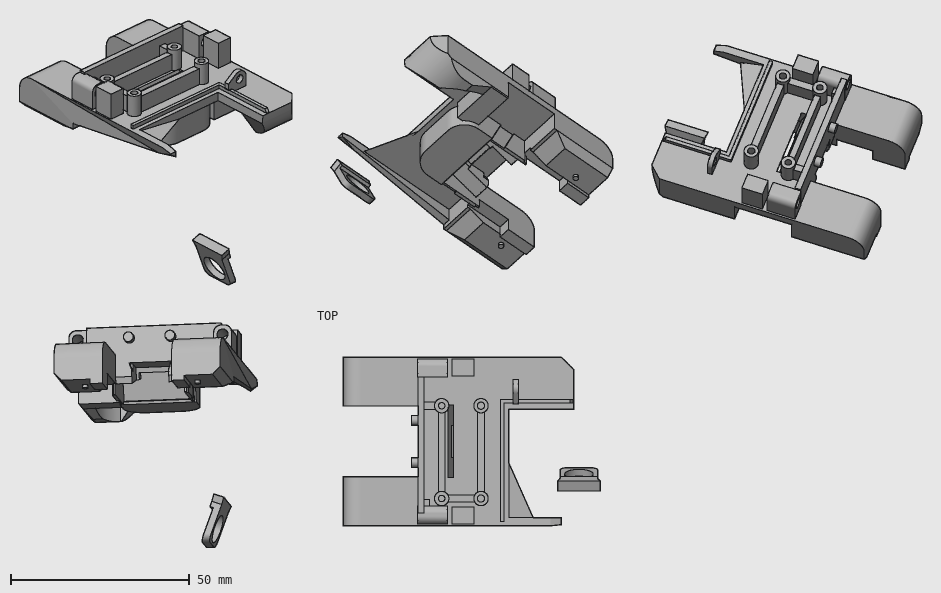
import cadquery as cq
import math

WIDTH = 47.3
HALF_WIDTH = WIDTH / 2
DECK_END = 64.55
DECK_THICKNESS = 2.65
TILT = 20.0
TILT_SLOPE = math.tan(math.radians(TILT))

GAP_HALF = 9.85
WALL_BACK = 20.95
NOTCH_X = 46.35
NOTCH_FAR_Y = 9.0
NOTCH_NEAR_Y = -21.3
NEAR_ARM_END = 61.1
FAR_CORNER_CUT = 3.5

LEG_ROUND = 5.0
LEG_BOTTOM = -11.45
LEG_CHAMFER = 2.15
LEG_FLAT_END = 15.8
LEG_SLOPE_END = 20.65
LEG_END = 21.65
NEAR_FOOT_LENGTH = 9.65
FAR_FOOT_LENGTH = 7.85
FOOT_WIDTH = 3.5
FOOT_BOTTOM = -12.75
LEG_INNER_BOTTOM = -8.2
LEG_PEG_DIAMETER = 1.5
LEG_PEG_X = 7.05
LEG_PEG_Y = 16.0
LEG_PEG_TIP = -12.4

SKIRT_START_DEPTH = 7.4
SKIRT_KNEE = (55.6, -3.25)
SKIRT_KNEE_INSET = 1.1
SKIRT_TOP_END = 58.65
SKIRT_RELIEF_REACH = 1.5
TIP_CHAMFER_LENGTH = 3.0
TIP_CHAMFER_DROP = 0.9

BULGE_RADIUS = 11.45
BULGE_CENTRE_X = DECK_END - BULGE_RADIUS
BULGE_LOW_X = 50.15
BULGE_RISE_X = 44.75
BULGE_RISE_Z = -9.6
BULGE_CORNER_X = 55.9
BULGE_CORNER_INSET = 5.05
BULGE_SLOPE_RUN = 5.75

WALL_THICKNESS = 1.7
WALL_TOP = 8.05
WALL_BOTTOM = -6.3
WALL_FAR_Y = 18.05
WALL_NEAR_Y = -20.1
WALL_PEG_DIAMETER = 2.8
WALL_PEG_LENGTH = 1.9
WALL_PEG_Y = 5.9
BORE_Z = 4.7
BOSS_START = 20.8
BOSS_END = 29.15
BOSS_TOP = 7.4
BOSS_ROUND = 2.0
BOSS_INNER_Y = 18.05
BOSS_OUTER_Y = 23.1
BORE_DIAMETER = 3.1
BORE_Y = 20.6
BLOCK_START = 30.5
BLOCK_END = 36.6
BLOCK_INNER_Y = 18.35
STOP_LENGTH = 1.45
STOP_NEAR_Y = -18.1
STOP_WIDTH = 1.95

POST_DIAMETER = 4.0
POST_HOLE_DIAMETERS = (1.8, 2.0)
POST_TOP = 6.55
POST_XS = (27.55, 38.6)
POST_YS = (-16.0, 10.0)
RIB_TOP = 5.1
RIB_WIDTH = 2.0
LEFT_RIB_WIDTH = 1.8

LIP_WIDTH = 1.0
LIP_HEIGHT = 1.15
LIP_X = 44.0
LIP_FAR_Y = 11.7
LIP_NEAR_Y = -22.45
LIP_END = 64.25
LIP_END_SLOPE = 0.7
EYE_START = 47.6
EYE_THICKNESS = 1.45
EYE_RADIUS = 2.5
EYE_CENTRE = (14.8, 3.1)
EYE_NEAR_Y = 10.5
EYE_HOLE_DIAMETER = 2.5

SEAT_HALF = 10.15
SEAT_CORNER = (21.6, -8.1)
SLIT_START = 29.35
SLIT_END = 30.9
SEAT_OPENING_HALF = 5.25
OPENING_TOP = -2.4
OPENING_TOP_HALF = 6.05
OPENING_TAPER_Z = -4.45
WINDOW_HALF = 4.45
WINDOW_CORNER = (27.9, -3.75)
LEDGE_Z = -10.2
CORE_END = 44.75
CORE_ROUND = 6.1
CHEEK_START = 20.4
CHEEK_STEP_END = 21.4
CHEEK_THICKNESS = 1.0
CORE_HALF = GAP_HALF + CHEEK_THICKNESS
GROOVE_START = 24.6
GROOVE_DEPTH = 0.5

GUSSET_LENGTH = 6.85
GUSSET_WIDTH = 15.4
GUSSET_RISE = 2.15

CLIP_HEAD_WIDTH = 11.95
CLIP_END = 71.95
CLIP_CENTRE_X = CLIP_END - CLIP_HEAD_WIDTH / 2
CLIP_WIDTH = 10.6
CLIP_HEAD_HEIGHT = 2.1
CLIP_HEAD_THICKNESS = 3.0
CLIP_THICKNESS = 2.0
CLIP_STEP_DEPTH = 3.7
CLIP_TOP_FRONT = (-13.9, -32.95)
CLIP_BOTTOM = -45.1
CLIP_BLANK_LENGTH = 15.8
CLIP_CORNER_RADIUS = 2.0
CLIP_HOLE_DIAMETER = 8.0
CLIP_HOLE_DEPTH = 8.3


def block(x0, x1, y0, y1, z0, z1):
    """Axis-aligned box between the given limits."""
    return cq.Workplane("XY").box(x1 - x0, y1 - y0, z1 - z0, centered=False).translate((x0, y0, z0))


def side_profile(points, y0, y1):
    """Prism of an X-Z polygon between two Y positions."""
    return cq.Workplane("XZ", origin=(0, y1, 0)).polyline(points).close().extrude(y1 - y0)


def rod(diameter, x0, x1, y, z):
    """Round bar along X."""
    return cq.Workplane("YZ", origin=(x0, y, z)).circle(diameter / 2).extrude(x1 - x0)


def tetrahedron(a, b, c, d):
    """Solid with four triangular faces."""
    triangles = ((a, b, c), (a, b, d), (b, c, d), (a, c, d))
    wires = [cq.Wire.makePolygon([cq.Vector(*corner) for corner in t], close=True) for t in triangles]
    faces = [cq.Face.makeFromWires(wire) for wire in wires]
    return cq.Workplane(cq.Solid.makeSolid(cq.Shell.makeShell(faces)))


def slanted_x(x_at_top, z):
    """X at height z of a plane tilted like the camera seat."""
    return x_at_top - z * TILT_SLOPE


def square_foot(x, z, x_at_top):
    """X and Z where a line through (x, z), square to the tilted planes, meets the given plane."""
    foot_z = (z + (x_at_top - x) * TILT_SLOPE) / (1 + TILT_SLOPE**2)
    return slanted_x(x_at_top, foot_z), foot_z


def make_deck():
    outline = [
        (LEG_ROUND, -HALF_WIDTH), (NEAR_ARM_END, -HALF_WIDTH), (NEAR_ARM_END, NOTCH_NEAR_Y),
        (NOTCH_X, NOTCH_NEAR_Y), (NOTCH_X, NOTCH_FAR_Y), (DECK_END, NOTCH_FAR_Y),
        (DECK_END, HALF_WIDTH - FAR_CORNER_CUT), (DECK_END - FAR_CORNER_CUT, HALF_WIDTH),
        (LEG_ROUND, HALF_WIDTH), (LEG_ROUND, GAP_HALF), (WALL_BACK, GAP_HALF),
        (WALL_BACK, -GAP_HALF), (LEG_ROUND, -GAP_HALF),
    ]
    deck = cq.Workplane("XY").polyline(outline).close().extrude(-DECK_THICKNESS)
    end_space = block(BULGE_CENTRE_X, DECK_END, NOTCH_FAR_Y, HALF_WIDTH, -DECK_THICKNESS, 0)
    round_end = cq.Workplane("XZ", origin=(BULGE_CENTRE_X, HALF_WIDTH, 0)).circle(BULGE_RADIUS)
    round_end = round_end.extrude(HALF_WIDTH)
    return deck.cut(end_space.cut(round_end))


def make_outer_chamfer(length):
    """Corner strip removed along a lower outer edge on the near side."""
    shoulder = LEG_BOTTOM + LEG_CHAMFER
    corner = [(-HALF_WIDTH, shoulder), (-HALF_WIDTH + LEG_CHAMFER, LEG_BOTTOM), (-HALF_WIDTH, LEG_BOTTOM)]
    return cq.Workplane("YZ").polyline(corner).close().extrude(length)


def make_leg(foot_length):
    """Near-side rounded leg with a chamfered outer edge, a foot and a locating peg."""
    shoulder = LEG_BOTTOM + LEG_CHAMFER
    leg = side_profile(
        [(0, 0), (LEG_END, 0), (LEG_END, shoulder), (LEG_SLOPE_END, shoulder),
         (LEG_FLAT_END, LEG_BOTTOM), (0, LEG_BOTTOM)],
        -HALF_WIDTH, -GAP_HALF,
    )
    leg = leg.edges("|Y and >Z and <X").fillet(LEG_ROUND)
    leg = leg.cut(make_outer_chamfer(LEG_END))
    inner_edge = -GAP_HALF - FOOT_WIDTH
    leg = leg.cut(block(foot_length, LEG_END, inner_edge, -GAP_HALF, LEG_BOTTOM, LEG_INNER_BOTTOM))
    leg = leg.union(block(0, foot_length, inner_edge, -GAP_HALF, FOOT_BOTTOM, LEG_BOTTOM))
    peg = cq.Workplane("XY", origin=(LEG_PEG_X, -LEG_PEG_Y, LEG_PEG_TIP))
    return leg.union(peg.circle(LEG_PEG_DIAMETER / 2).extrude(LEG_BOTTOM - LEG_PEG_TIP))


def make_skirt():
    """Side web that tapers from the near leg to the arm's tip."""
    knee_x, knee_z = SKIRT_KNEE
    profile = [(LEG_END, 0), (NEAR_ARM_END, 0), (NEAR_ARM_END, -DECK_THICKNESS), (knee_x, knee_z),
               (LEG_END, -SKIRT_START_DEPTH)]
    return side_profile(profile, -HALF_WIDTH, NOTCH_NEAR_Y)


def make_skirt_relief():
    """Corner wedge from the leg's round that hollows the skirt into two flat facets."""
    apex = (LEG_ROUND, -HALF_WIDTH, 0)
    knee = (SKIRT_KNEE[0], -HALF_WIDTH + SKIRT_KNEE_INSET, SKIRT_KNEE[1])
    ends = [(SKIRT_TOP_END, -HALF_WIDTH, 0), (LEG_END, -HALF_WIDTH, -SKIRT_START_DEPTH), knee]
    far = [tuple(a + SKIRT_RELIEF_REACH * (e - a) for a, e in zip(apex, end)) for end in ends]
    return tetrahedron(apex, *far)


def make_tip_chamfer():
    start = NEAR_ARM_END - TIP_CHAMFER_LENGTH
    corner = [(start, 0), (NEAR_ARM_END, 0), (NEAR_ARM_END, -TIP_CHAMFER_DROP)]
    return side_profile(corner, -HALF_WIDTH, NOTCH_NEAR_Y)


def make_tip_undercut():
    """Wedge that lets the tip's underside rise towards the outer edge."""
    knee = (SKIRT_KNEE[0], -HALF_WIDTH + SKIRT_KNEE_INSET, SKIRT_KNEE[1])
    return tetrahedron(knee, (NEAR_ARM_END, -HALF_WIDTH, -TIP_CHAMFER_DROP),
                       (NEAR_ARM_END, NOTCH_NEAR_Y, -DECK_THICKNESS),
                       (NEAR_ARM_END, -HALF_WIDTH, SKIRT_KNEE[1]))


def make_bulge():
    """Rounded keel under the far arm, with a curved and a sloped inner side."""
    diagonal = math.sqrt(0.5) * BULGE_RADIUS
    keel = (
        cq.Workplane("XZ", origin=(0, HALF_WIDTH, 0))
        .moveTo(CORE_END - CORE_ROUND, 0)
        .lineTo(CORE_END - CORE_ROUND, BULGE_RISE_Z)
        .lineTo(BULGE_RISE_X, BULGE_RISE_Z)
        .lineTo(BULGE_LOW_X, -BULGE_RADIUS)
        .lineTo(BULGE_CENTRE_X, -BULGE_RADIUS)
        .threePointArc((BULGE_CENTRE_X + diagonal, -diagonal), (BULGE_CENTRE_X + BULGE_RADIUS, 0))
        .close()
        .extrude(HALF_WIDTH - NOTCH_FAR_Y)
    )
    run = BULGE_CORNER_X - CORE_END
    radius = (run**2 + BULGE_CORNER_INSET**2) / (2 * BULGE_CORNER_INSET)
    angle = math.asin(run / radius) / 2
    corner_y = NOTCH_FAR_Y + BULGE_SLOPE_RUN
    inner_y = corner_y + BULGE_CORNER_INSET
    middle = (CORE_END + radius * math.sin(angle), inner_y - radius * (1 - math.cos(angle)))
    curve = (
        cq.Workplane("XY", origin=(0, 0, -DECK_THICKNESS))
        .moveTo(CORE_END, inner_y)
        .threePointArc(middle, (BULGE_CORNER_X, corner_y))
        .lineTo(BULGE_CORNER_X, NOTCH_FAR_Y)
        .lineTo(CORE_END, NOTCH_FAR_Y)
        .close()
        .extrude(-BULGE_RADIUS)
    )
    slope = [(NOTCH_FAR_Y, -DECK_THICKNESS), (NOTCH_FAR_Y + BULGE_SLOPE_RUN, -BULGE_RADIUS),
             (NOTCH_FAR_Y, -BULGE_RADIUS)]
    slope = cq.Workplane("YZ", origin=(BULGE_CORNER_X, 0, 0)).polyline(slope).close().extrude(DECK_END)
    corner = [(DECK_END, HALF_WIDTH - FAR_CORNER_CUT), (DECK_END - FAR_CORNER_CUT, HALF_WIDTH),
              (DECK_END, HALF_WIDTH)]
    corner = cq.Workplane("XY").polyline(corner).close().extrude(-BULGE_RADIUS)
    return keel.cut(curve).cut(slope).cut(corner).cut(make_outer_chamfer(DECK_END).mirror("XZ"))


def make_gusset():
    z = -DECK_THICKNESS
    corner = (NOTCH_X, NOTCH_NEAR_Y, z)
    top = (NOTCH_X, NOTCH_NEAR_Y, z + GUSSET_RISE)
    return tetrahedron(corner, (NOTCH_X + GUSSET_LENGTH, NOTCH_NEAR_Y, z),
                       (NOTCH_X, NOTCH_NEAR_Y + GUSSET_WIDTH, z), top)


def make_wall():
    """Cross wall with two pegs and a small stop behind it."""
    face = WALL_BACK + WALL_THICKNESS
    wall = block(WALL_BACK, face, WALL_NEAR_Y, WALL_FAR_Y, 0, WALL_TOP)
    wall = wall.union(block(WALL_BACK, face, -GAP_HALF, GAP_HALF, WALL_BOTTOM, 0))
    for y in (-WALL_PEG_Y, WALL_PEG_Y):
        wall = wall.union(rod(WALL_PEG_DIAMETER, WALL_BACK - WALL_PEG_LENGTH, WALL_BACK, y, BORE_Z))
    return wall.union(block(face, face + STOP_LENGTH, STOP_NEAR_Y, STOP_NEAR_Y + STOP_WIDTH, 0, RIB_TOP))


def make_hinge_bosses():
    near = block(BOSS_START, BOSS_END, -BOSS_OUTER_Y, -BOSS_INNER_Y, 0, BOSS_TOP)
    near = near.edges("|X and >Z").fillet(BOSS_ROUND)
    far = block(BOSS_START, BOSS_END, BOSS_INNER_Y, BOSS_OUTER_Y, 0, BOSS_TOP)
    far = far.edges("|X and >Z and >Y").fillet(BOSS_ROUND)
    return near.union(far)


def make_stop_blocks():
    near = block(BLOCK_START, BLOCK_END, -BOSS_OUTER_Y, -BLOCK_INNER_Y, 0, WALL_TOP)
    return near.union(near.mirror("XZ"))


def make_posts():
    """Four screw posts joined by ribs, one of which runs to the cross wall."""
    left, right = POST_XS
    near, far = POST_YS
    half = RIB_WIDTH / 2
    posts = block(WALL_BACK, left, far - half, far + half, 0, RIB_TOP)
    posts = posts.union(block(left, right, near - half, near + half, 0, RIB_TOP))
    for x, width in zip(POST_XS, (LEFT_RIB_WIDTH, RIB_WIDTH)):
        posts = posts.union(block(x - width / 2, x + width / 2, near, far, 0, RIB_TOP))
    centres = [(x, y) for x in POST_XS for y in POST_YS]
    posts = posts.union(cq.Workplane("XY").pushPoints(centres).circle(POST_DIAMETER / 2).extrude(POST_TOP))
    for x, diameter in zip(POST_XS, POST_HOLE_DIAMETERS):
        holes = cq.Workplane("XY").pushPoints([(x, near), (x, far)])
        posts = posts.cut(holes.circle(diameter / 2).extrude(POST_TOP))
    return posts


def make_lip():
    long_side = block(LIP_X, LIP_X + LIP_WIDTH, LIP_NEAR_Y, LIP_FAR_Y, 0, LIP_HEIGHT)
    profile = [(LIP_X, 0), (LIP_END, 0), (LIP_END - LIP_END_SLOPE, LIP_HEIGHT), (LIP_X, LIP_HEIGHT)]
    return long_side.union(side_profile(profile, LIP_FAR_Y - LIP_WIDTH, LIP_FAR_Y))


def make_eye():
    """Cable eye: a round head whose near side runs down a tangent to a short upright edge."""
    y, z = EYE_CENTRE
    diagonal = EYE_RADIUS * math.sqrt(0.5)
    tangent_angle = math.asin(EYE_RADIUS / (y - EYE_NEAR_Y))
    tangent = (y - EYE_RADIUS * math.sin(tangent_angle), z + EYE_RADIUS * math.cos(tangent_angle))
    plate = (
        cq.Workplane("YZ", origin=(EYE_START, 0, 0))
        .moveTo(EYE_NEAR_Y, LIP_HEIGHT)
        .lineTo(EYE_NEAR_Y, z)
        .lineTo(*tangent)
        .threePointArc((y + diagonal, z + diagonal), (y + EYE_RADIUS, z))
        .lineTo(y + EYE_RADIUS, 0)
        .lineTo(LIP_FAR_Y, 0)
        .lineTo(LIP_FAR_Y, LIP_HEIGHT)
        .close()
        .extrude(EYE_THICKNESS)
    )
    return plate.cut(rod(EYE_HOLE_DIAMETER, EYE_START, EYE_START + EYE_THICKNESS, y, z))


def make_camera_seat():
    """Tilted seat behind the wall, between two cheeks, each grooved and stepped outside."""
    rear_corner = square_foot(*SEAT_CORNER, SLIT_START)
    seat = side_profile(
        [(WALL_BACK, 0), (WALL_BACK, WALL_BOTTOM), SEAT_CORNER, rear_corner, (SLIT_START, 0)],
        -GAP_HALF, GAP_HALF,
    )
    cheek_end = CORE_END - CORE_ROUND
    cheek = side_profile(
        [(CHEEK_START, 0), (CHEEK_START, LEG_BOTTOM), (cheek_end, LEG_BOTTOM), (cheek_end, 0)],
        GAP_HALF, CORE_HALF,
    )
    groove = side_profile(
        [(slanted_x(GROOVE_START, -DECK_THICKNESS), -DECK_THICKNESS),
         (slanted_x(GROOVE_START, LEG_BOTTOM), LEG_BOTTOM),
         (slanted_x(SLIT_START, LEG_BOTTOM), LEG_BOTTOM),
         (slanted_x(SLIT_START, -DECK_THICKNESS), -DECK_THICKNESS)],
        CORE_HALF - GROOVE_DEPTH, CORE_HALF,
    )
    front_step = block(CHEEK_START, CHEEK_STEP_END, CORE_HALF - GROOVE_DEPTH, CORE_HALF,
                       LEG_BOTTOM, LEG_INNER_BOTTOM)
    cheek = cheek.cut(groove).cut(front_step)
    return seat.union(cheek).union(cheek.mirror("XZ"))


def make_core():
    """Block behind the seat with a tilted front, a ledge at its foot and rounded rear corners."""
    ledge_back = (slanted_x(SLIT_END, LEDGE_Z), LEDGE_Z)
    core = side_profile(
        [(SLIT_END, 0), ledge_back, square_foot(*ledge_back, SLIT_START),
         (slanted_x(SLIT_START, LEG_BOTTOM), LEG_BOTTOM), (CORE_END, LEG_BOTTOM), (CORE_END, 0)],
        -CORE_HALF, CORE_HALF,
    )
    return core.edges("|Z and >X").fillet(CORE_ROUND)


def make_seat_openings():
    """Tilted slit through the deck, the open bay below the wall, and the window between them."""
    foot_z = square_foot(*SEAT_CORNER, SLIT_START)[1]
    slit = side_profile(
        [(SLIT_START, 0), (SLIT_END, 0), (slanted_x(SLIT_END, foot_z), foot_z),
         (slanted_x(SLIT_START, foot_z), foot_z)],
        -SEAT_HALF, SEAT_HALF,
    )
    x, z = WINDOW_CORNER
    bay_depth = LEG_BOTTOM - z
    bay = side_profile(
        [(WALL_BACK, OPENING_TOP), (slanted_x(x, OPENING_TOP - z), OPENING_TOP),
         (slanted_x(x, bay_depth), LEG_BOTTOM), (WALL_BACK, LEG_BOTTOM)],
        -SEAT_OPENING_HALF, SEAT_OPENING_HALF,
    )
    taper = [(-OPENING_TOP_HALF, OPENING_TOP), (OPENING_TOP_HALF, OPENING_TOP),
             (SEAT_OPENING_HALF, OPENING_TAPER_Z), (-SEAT_OPENING_HALF, OPENING_TAPER_Z)]
    taper = cq.Workplane("YZ", origin=(WALL_BACK, 0, 0)).polyline(taper).close().extrude(WALL_THICKNESS)
    window = side_profile(
        [(x, z), square_foot(x, z, SLIT_START), (slanted_x(SLIT_START, LEG_INNER_BOTTOM), LEG_INNER_BOTTOM),
         (slanted_x(x, LEG_INNER_BOTTOM - z), LEG_INNER_BOTTOM)],
        -WINDOW_HALF, WINDOW_HALF,
    )
    return slit.union(bay).union(taper).union(window)


def make_frame():
    """Main body, one piece."""
    near_leg = make_leg(NEAR_FOOT_LENGTH)
    far_leg = make_leg(FAR_FOOT_LENGTH).mirror("XZ")
    parts = [near_leg, far_leg, make_skirt(), make_bulge(), make_gusset(), make_camera_seat(),
             make_core(), make_wall(), make_hinge_bosses(), make_stop_blocks(), make_posts(), make_lip(),
             make_eye()]
    frame = make_deck()
    for part in parts:
        frame = frame.union(part)
    frame = frame.cut(make_seat_openings()).cut(make_skirt_relief()).cut(make_tip_chamfer())
    frame = frame.cut(make_tip_undercut())
    for y in (-BORE_Y, BORE_Y):
        frame = frame.cut(rod(BORE_DIAMETER, BOSS_START, BOSS_END, y, BORE_Z))
    return frame


def make_clip():
    """Loose clip with a flared head and a round hole, leaning by the tilt angle."""
    length = CLIP_BLANK_LENGTH
    head, body = CLIP_HEAD_WIDTH / 2, CLIP_WIDTH / 2
    outline = [(-head, 0), (head, 0), (body, -CLIP_HEAD_HEIGHT), (body, -length), (-body, -length),
               (-body, -CLIP_HEAD_HEIGHT)]
    clip = side_profile(outline, 0, CLIP_HEAD_THICKNESS)
    clip = clip.cut(block(-head, head, CLIP_THICKNESS, CLIP_HEAD_THICKNESS, -length, -CLIP_STEP_DEPTH))
    hole = cq.Workplane("XZ", origin=(0, CLIP_THICKNESS, -CLIP_HOLE_DEPTH)).circle(CLIP_HOLE_DIAMETER / 2)
    clip = clip.cut(hole.extrude(CLIP_THICKNESS))
    clip = clip.rotate((0, 0, 0), (1, 0, 0), TILT)
    clip = clip.translate((CLIP_CENTRE_X, *CLIP_TOP_FRONT))
    top = CLIP_BOTTOM + length
    envelope = block(CLIP_CENTRE_X - body, CLIP_CENTRE_X + body, -HALF_WIDTH, HALF_WIDTH, CLIP_BOTTOM, top)
    envelope = envelope.edges("|Y and <Z").fillet(CLIP_CORNER_RADIUS)
    shoulder = CLIP_TOP_FRONT[1] - CLIP_STEP_DEPTH
    head_space = block(CLIP_CENTRE_X - head, CLIP_CENTRE_X + head, -HALF_WIDTH, HALF_WIDTH, shoulder, top)
    return clip.intersect(envelope.union(head_space))


frame = make_frame()
clip = make_clip()
result = cq.Compound.makeCompound([frame.solids().val(), clip.solids().val()])